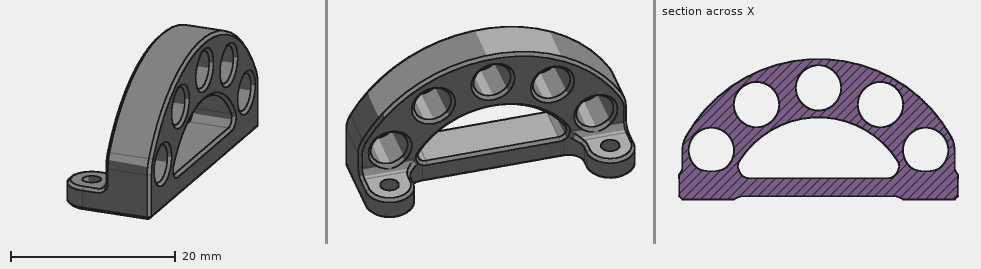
import cadquery as cq
import math

LENGTH = 34.0
WALL_THICKNESS = 6.0
TAB_REACH = 6.0
BASE_HEIGHT = 3.0
EDGE_CHAMFER = 0.4

OUTER_RADIUS = 18.93
HOLE_CIRCLE_RADIUS = 15.0
OPENING_RADIUS = 11.0
ARCH_TOP = 17.53
ARCH_CENTRE_Z = ARCH_TOP - OUTER_RADIUS
SHOULDER_RADIUS = 4.0
OPENING_CORNER_RADIUS = 1.0

HOLE_DIAMETER = 4.7
HOLES_PER_SIDE = 2
HOLE_SPACING_ANGLE = 30.23

TAB_WIDTH = 6.0
TAB_HOLE_DIAMETER = 2.27
TAB_BLEND_RADIUS = 2.0
FOOT_FILLET = 1.0

HALF_LENGTH = LENGTH / 2
TAB_RADIUS = TAB_WIDTH / 2
TAB_CENTRE_X = TAB_RADIUS - TAB_REACH
TAB_CENTRE_Y = HALF_LENGTH - TAB_RADIUS
DIAGONAL = math.sqrt(0.5)
TOLERANCE = 1e-3


def arch_block():
    """Arch outline in YZ, extruded along the full depth in X."""
    shoulder_y = HALF_LENGTH - SHOULDER_RADIUS
    shoulder_distance = OUTER_RADIUS - SHOULDER_RADIUS
    shoulder_z = ARCH_CENTRE_Z + math.sqrt(shoulder_distance**2 - shoulder_y**2)
    scale = OUTER_RADIUS / shoulder_distance
    join_y = shoulder_y * scale
    join_z = ARCH_CENTRE_Z + (shoulder_z - ARCH_CENTRE_Z) * scale
    mid_angle = math.atan2(join_z - shoulder_z, join_y - shoulder_y) / 2
    mid_y = shoulder_y + SHOULDER_RADIUS * math.cos(mid_angle)
    mid_z = shoulder_z + SHOULDER_RADIUS * math.sin(mid_angle)
    return (
        cq.Workplane("YZ", origin=(-TAB_REACH, 0, 0))
        .moveTo(-HALF_LENGTH, 0)
        .lineTo(HALF_LENGTH, 0)
        .lineTo(HALF_LENGTH, shoulder_z)
        .threePointArc((mid_y, mid_z), (join_y, join_z))
        .threePointArc((0, ARCH_TOP), (-join_y, join_z))
        .threePointArc((-mid_y, mid_z), (-HALF_LENGTH, shoulder_z))
        .close()
        .extrude(TAB_REACH + WALL_THICKNESS)
    )


def l_section():
    """L-shaped XZ section (feet and wall with the fillet between), extruded along Y."""
    arc_offset = FOOT_FILLET * (1 - DIAGONAL)
    return (
        cq.Workplane("XZ", origin=(0, HALF_LENGTH, 0))
        .moveTo(-TAB_REACH, 0)
        .lineTo(WALL_THICKNESS, 0)
        .lineTo(WALL_THICKNESS, ARCH_TOP)
        .lineTo(0, ARCH_TOP)
        .lineTo(0, BASE_HEIGHT + FOOT_FILLET)
        .threePointArc((-arc_offset, BASE_HEIGHT + arc_offset), (-FOOT_FILLET, BASE_HEIGHT))
        .lineTo(-TAB_REACH, BASE_HEIGHT)
        .close()
        .extrude(LENGTH)
    )


def foot_plan(side):
    """Plan of one round-ended foot with its blend into the arch face; side is +1 or -1 in Y."""
    outer_y = side * HALF_LENGTH
    inner_y = side * (HALF_LENGTH - TAB_WIDTH)
    blend_end_y = inner_y - side * TAB_BLEND_RADIUS
    blend_mid_x = -TAB_BLEND_RADIUS * (1 - DIAGONAL)
    blend_mid_y = inner_y - side * TAB_BLEND_RADIUS * (1 - DIAGONAL)
    return (
        cq.Workplane("XY")
        .moveTo(WALL_THICKNESS, outer_y)
        .lineTo(TAB_CENTRE_X, outer_y)
        .threePointArc((-TAB_REACH, side * TAB_CENTRE_Y), (TAB_CENTRE_X, inner_y))
        .lineTo(-TAB_BLEND_RADIUS, inner_y)
        .threePointArc((blend_mid_x, blend_mid_y), (0, blend_end_y))
        .lineTo(WALL_THICKNESS, blend_end_y)
        .close()
        .extrude(ARCH_TOP)
    )


def plan_block():
    """Full-height block with the plan outline of the part."""
    wall = cq.Workplane("XY").box(WALL_THICKNESS, LENGTH, ARCH_TOP, centered=(False, True, False))
    return wall.union(foot_plan(1)).union(foot_plan(-1)).clean()


def opening():
    """Segment-shaped opening above the bar, with rounded lower corners."""
    corner_z = BASE_HEIGHT - ARCH_CENTRE_Z
    corner_y = math.sqrt(OPENING_RADIUS**2 - corner_z**2)
    return (
        cq.Workplane("YZ", origin=(-TAB_REACH, 0, 0))
        .moveTo(-corner_y, BASE_HEIGHT)
        .lineTo(corner_y, BASE_HEIGHT)
        .threePointArc((0, ARCH_CENTRE_Z + OPENING_RADIUS), (-corner_y, BASE_HEIGHT))
        .close()
        .extrude(TAB_REACH + WALL_THICKNESS)
        .edges("|X")
        .fillet(OPENING_CORNER_RADIUS)
    )


def is_front_rim(edge):
    """True for the rim of the -X side: arch outline, foot tops, blends and opening outline."""
    box = edge.BoundingBox()
    centre = edge.Center()
    spans_wall = box.xmax > TOLERANCE
    at_bottom = box.zmin < TOLERANCE
    is_line = edge.geomType() == "LINE"
    at_fillet_height = abs(centre.z - BASE_HEIGHT - FOOT_FILLET) < TOLERANCE
    fillet_to_face = is_line and abs(centre.x) < TOLERANCE and at_fillet_height
    fillet_to_top = is_line and abs(centre.x + FOOT_FILLET) < TOLERANCE
    return not (spans_wall or at_bottom or fillet_to_face or fillet_to_top)


def chamfer_rims(body):
    """Chamfer the front rim, the bottom outline and the rims of the back face."""
    front_rim = [edge for edge in body.edges().vals() if is_front_rim(edge)]
    body = body.newObject(front_rim).chamfer(EDGE_CHAMFER)
    return body.faces("<Z or >X").edges().chamfer(EDGE_CHAMFER)


def hole_centres():
    """(Y, Z) centres of the arch holes."""
    centres = []
    for step in range(-HOLES_PER_SIDE, HOLES_PER_SIDE + 1):
        angle = math.radians(step * HOLE_SPACING_ANGLE)
        y = HOLE_CIRCLE_RADIUS * math.sin(angle)
        z = ARCH_CENTRE_Z + HOLE_CIRCLE_RADIUS * math.cos(angle)
        centres.append((y, z))
    return centres


def is_hole_mouth(edge):
    """True for an edge that runs around the end of an arch hole, on a face or on the foot fillet."""
    runs_along_x = edge.geomType() == "LINE"
    middle = edge.positionAt(0.5)
    for y, z in hole_centres():
        distance = math.hypot(middle.y - y, middle.z - z)
        if not runs_along_x and abs(distance - HOLE_DIAMETER / 2) < TOLERANCE:
            return True
    return False


def drill_arch_holes(body):
    """Cut the holes along X on the hole circle and chamfer both mouths of each."""
    radius = HOLE_DIAMETER / 2
    drills = cq.Workplane("YZ", origin=(-FOOT_FILLET, 0, 0))
    drills = drills.pushPoints(hole_centres()).circle(radius).extrude(FOOT_FILLET + WALL_THICKNESS)
    body = body.cut(drills)
    mouths = [edge for edge in body.edges().vals() if is_hole_mouth(edge)]
    return body.newObject(mouths).chamfer(EDGE_CHAMFER)


def foot_holes():
    """Vertical through holes at the centres of the round foot ends."""
    return (
        cq.Workplane("XY")
        .pushPoints([(TAB_CENTRE_X, TAB_CENTRE_Y), (TAB_CENTRE_X, -TAB_CENTRE_Y)])
        .circle(TAB_HOLE_DIAMETER / 2)
        .extrude(BASE_HEIGHT)
    )


body = arch_block().intersect(l_section()).intersect(plan_block()).cut(opening())
body = drill_arch_holes(chamfer_rims(body))
result = body.cut(foot_holes())